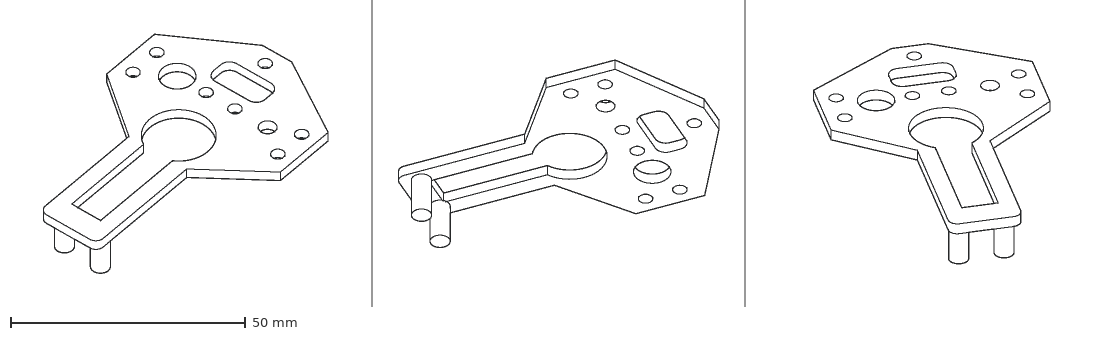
import cadquery as cq

length = 70.0
width = 48.0
thickness = 2.5
top_edge_width = 8.1
upper_corner_y = 58.0
lower_corner_y = 42.0
handle_width = 15.95
handle_length = 30.0
handle_corner_radius = 2.0

opening_diameter = 15.95
opening_y = 37.0
slot_width = 8.0
slot_end_y = 6.0

window_width = 14.15
window_height = 7.15
window_corner_radius = 2.4
window_y = 58.5

screw_hole_diameter = 3.1
side_hole_x = 20.0
side_hole_ys = (46.0, 54.0)
top_hole_y = 66.0
hole_row_y = 51.0
row_hole_x = 4.0
left_hole_diameter = 8.0
left_hole_x = -12.0
right_hole_diameter = 4.0
right_hole_x = 13.0

total_height = 12.0
pin_length = total_height - thickness
pin_diameter = 4.35
pin_spacing = 9.95
pin_y = 4.75


def make_plate():
    """Six-cornered head and straight handle in one outline."""
    right_side = [
        (handle_width / 2, 0),
        (handle_width / 2, handle_length),
        (width / 2, lower_corner_y),
        (width / 2, upper_corner_y),
        (top_edge_width / 2, length),
    ]
    left_side = [(-x, y) for x, y in reversed(right_side)]
    plate = cq.Workplane("XY").polyline(right_side + left_side).close().extrude(thickness)
    return plate.edges("|Z and <Y").fillet(handle_corner_radius)


def round_cut(points, diameter):
    """Cylinders that cut through the plate at the given points."""
    return cq.Workplane("XY").pushPoints(points).circle(diameter / 2).extrude(thickness)


def make_slot():
    """Straight slot from the handle end to the middle of the large opening."""
    slot_length = opening_y - slot_end_y
    return (
        cq.Workplane("XY")
        .center(0, slot_end_y + slot_length / 2)
        .rect(slot_width, slot_length)
        .extrude(thickness)
    )


def make_window():
    return (
        cq.Workplane("XY")
        .center(0, window_y)
        .rect(window_width, window_height)
        .extrude(thickness)
        .edges("|Z")
        .fillet(window_corner_radius)
    )


def make_pins():
    """Two pins hanging from the underside, partly showing in the slot corners."""
    centres = [(side * pin_spacing / 2, pin_y) for side in (-1, 1)]
    return cq.Workplane("XY").pushPoints(centres).circle(pin_diameter / 2).extrude(-pin_length)


screw_holes = [(side * side_hole_x, y) for side in (-1, 1) for y in side_hole_ys]
screw_holes += [(side * row_hole_x, hole_row_y) for side in (-1, 1)]
screw_holes.append((0, top_hole_y))

result = (
    make_plate()
    .cut(round_cut([(0, opening_y)], opening_diameter))
    .cut(make_slot())
    .cut(make_window())
    .cut(round_cut(screw_holes, screw_hole_diameter))
    .cut(round_cut([(left_hole_x, hole_row_y)], left_hole_diameter))
    .cut(round_cut([(right_hole_x, hole_row_y)], right_hole_diameter))
    .union(make_pins())
)